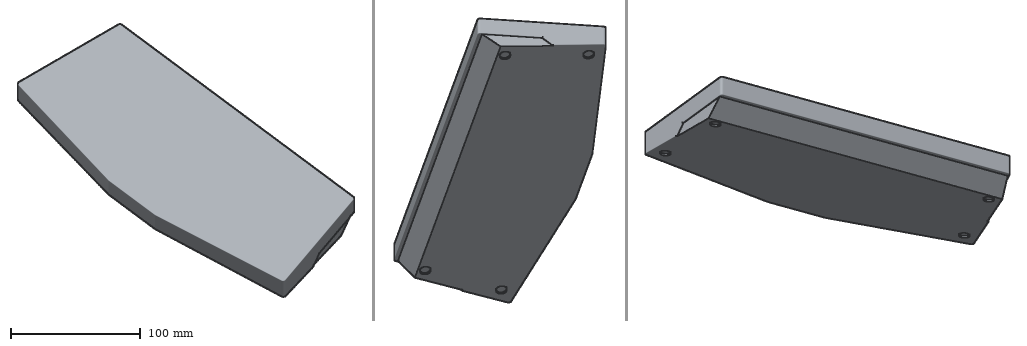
import cadquery as cq
import math

width = 283.5
depth = 118.5
height = 29.2

taper = math.radians(10)
front_flat = 49.3
corner_radius = 2.3
edge_radius = 0.43

front_height = 18.0
back_height = 16.7
lowest_y = 101.0
bevel_back_y = 115.0

foot_inset = 1.0
foot_top_y = 69.2
foot_front_y = 61.0

recess_diameter = 8.5
recess_depth = 1.7
recess_places = [(129.0, 31.2), (118.0, 95.0)]

bottom_slope = (height - front_height) / lowest_y
bottom_angle = math.degrees(math.atan(bottom_slope))

corner_trim = corner_radius * (math.cos(taper) + math.sin(taper) - 1)
corner_x = width / 2 + corner_trim
corner_y = (corner_x - front_flat / 2) * math.tan(taper)


def bottom_z(y):
    """Height of the sloping underside at a given y."""
    return -front_height - bottom_slope * y


def side_x(y):
    """Half width of the tapered sides at a given y."""
    return corner_x - math.tan(taper) * (y - corner_y)


def extrude_profile(points):
    """Extrude a closed YZ profile well past both sides."""
    return cq.Workplane("YZ").polyline(points).close().extrude(width, both=True)


def make_slab():
    """Plate with rounded corners, thickened towards the front of the foot."""
    plan = (
        cq.Workplane("XY")
        .polyline([
            (-front_flat / 2, 0),
            (front_flat / 2, 0),
            (side_x(corner_y), corner_y),
            (side_x(depth), depth),
            (-side_x(depth), depth),
            (-side_x(corner_y), corner_y),
        ])
        .close()
        .extrude(-height)
    )
    for corner_edges in ("<X", ">X", ">Y"):
        plan = plan.edges("|Z").edges(corner_edges).fillet(corner_radius)
    slab = plan.intersect(extrude_profile([
        (0, 0),
        (depth, 0),
        (depth, -back_height),
        (foot_top_y, -back_height),
        (foot_front_y, bottom_z(foot_front_y)),
        (0, bottom_z(0)),
    ]))
    across_foot = cq.selectors.BoxSelector(
        (-2.8, foot_front_y - 2.8, -height), (2.8, foot_top_y + 2.8, -back_height + 2.8))
    rims = slab.edges("not |Z").edges(cq.selectors.InverseSelector(across_foot))
    return rims.fillet(edge_radius)


def make_foot():
    """Block under the rear of the slab, set in from its sides."""
    front_x = side_x(foot_front_y) - foot_inset
    back_x = side_x(bevel_back_y) - foot_inset
    outline = (
        cq.Workplane("XY")
        .polyline([
            (-front_x, foot_front_y),
            (front_x, foot_front_y),
            (back_x, bevel_back_y),
            (-back_x, bevel_back_y),
        ])
        .close()
        .extrude(-height)
    )
    return outline.intersect(extrude_profile([
        (foot_front_y, bottom_z(foot_front_y)),
        (foot_top_y, -back_height),
        (bevel_back_y, -back_height),
        (lowest_y, -height),
    ]))


def make_recess(x, y):
    """Disc sunk square into the sloping underside."""
    return (
        cq.Workplane("XY")
        .circle(recess_diameter / 2)
        .extrude(recess_depth, both=True)
        .rotate((0, 0, 0), (1, 0, 0), -bottom_angle)
        .translate((x, y, bottom_z(y)))
    )


body = make_slab().union(make_foot())
for side in (-1, 1):
    for distance, y in recess_places:
        body = body.cut(make_recess(side * distance, y))

result = body